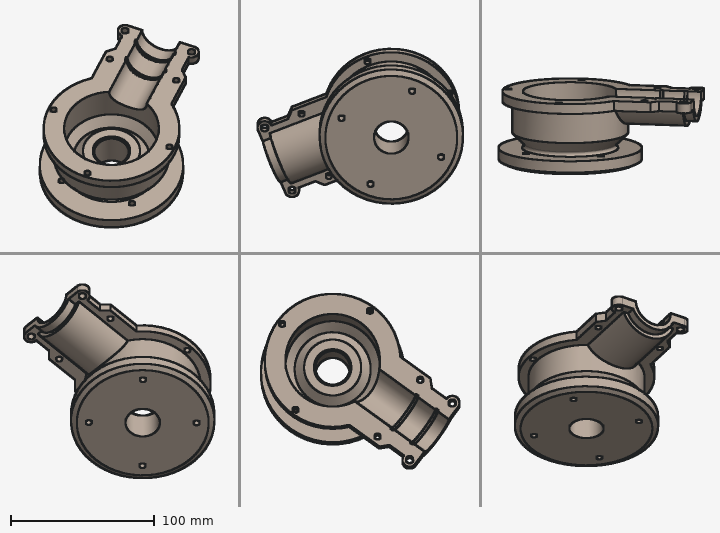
import cadquery as cq
import math

height = 50.0
upper_flange_thickness = 7.0
upper_flange_bottom = height - upper_flange_thickness
lower_flange_top = 10.0
base_chamfer_height = 2.0
base_chamfer_width = 4.0

lower_flange_radius = 50.0
upper_flange_radius = 47.3
body_radius = 40.5
body_bottom = 21.0
neck_radius = 32.5
neck_top = 13.0
neck_foot_radius = 33.5
neck_waist_radius = 32.2

bowl_radius = 66.0 / 2
bowl_bottom = 25.2
valley_radius = 26.5
valley_depth = 6.6
seat_radius = 19.9
shaft_radius = 24.0 / 2
shaft_chamfer = 1.05

inlet_end = 90.0
channel_radius = 14.1
tube_radius = 21.3
spigot_radius = 17.9
spigot_length = 6.7
groove_radius = 15.1
groove_width = 2.1
groove_centers = (79.2, 62.2)

plate_half_width = 30.1
ear_radius = 5.0
waist_half_width = plate_half_width - ear_radius
ear_y = inlet_end - ear_radius
waist_end = 67.5
waist_start = waist_end - ear_radius
ear_hole_diameter = 5.0

screw_diameter = 4.2
plate_screw_y = 57.3
upper_screw_circle = 43.7
lower_screw_circle = 37.5

ear_points = [(side * waist_half_width, ear_y) for side in (-1, 1)]
plate_screw_points = [(side * waist_half_width, plate_screw_y) for side in (-1, 1)]
upper_screw_points = [
    (-upper_screw_circle, 0),
    (upper_screw_circle, 0),
    (0, -upper_screw_circle),
]
lower_screw_offset = lower_screw_circle / math.sqrt(2)
lower_screw_points = [
    (x_side * lower_screw_offset, y_side * lower_screw_offset)
    for x_side in (-1, 1)
    for y_side in (-1, 1)
]


def half_round(radius, start, end):
    """Cylinder along Y whose axis lies in the top face."""
    return (
        cq.Workplane("XZ", origin=(0, start, height))
        .circle(radius)
        .extrude(start - end)
    )


def drill(points, diameter, bottom, top):
    """Vertical cylinders at the given points."""
    return (
        cq.Workplane("XY", origin=(0, 0, bottom))
        .pushPoints(points)
        .circle(diameter / 2)
        .extrude(top - bottom)
    )


def make_housing():
    """Revolved outside of the flanges, body, cone and neck."""
    neck_arc_middle = (neck_waist_radius, (neck_top + lower_flange_top) / 2)
    return (
        cq.Workplane("XZ")
        .lineTo(lower_flange_radius - base_chamfer_width, 0)
        .lineTo(lower_flange_radius, base_chamfer_height)
        .lineTo(lower_flange_radius, lower_flange_top)
        .lineTo(neck_foot_radius, lower_flange_top)
        .threePointArc(neck_arc_middle, (neck_radius, neck_top))
        .lineTo(body_radius, body_bottom)
        .lineTo(body_radius, upper_flange_bottom)
        .lineTo(upper_flange_radius, upper_flange_bottom)
        .lineTo(upper_flange_radius, height)
        .lineTo(0, height)
        .close()
        .revolve(360, (0, 0), (0, 1))
    )


def make_plate():
    """Flat inlet plate with a narrowed waist and two rounded ears."""
    plate = (
        cq.Workplane("XY", origin=(0, 0, upper_flange_bottom))
        .moveTo(-plate_half_width, 0)
        .lineTo(plate_half_width, 0)
        .lineTo(plate_half_width, waist_start)
        .lineTo(waist_half_width, waist_end)
        .lineTo(waist_half_width, inlet_end)
        .lineTo(-waist_half_width, inlet_end)
        .lineTo(-waist_half_width, waist_end)
        .lineTo(-plate_half_width, waist_start)
        .close()
        .extrude(upper_flange_thickness)
    )
    ears = drill(ear_points, 2 * ear_radius, upper_flange_bottom, height)
    return plate.union(ears)


def make_tube():
    """Lower half of the inlet tube with a thinner spigot at its end."""
    tube = half_round(tube_radius, 0, inlet_end - spigot_length)
    spigot = half_round(spigot_radius, 0, inlet_end)
    lower_half = cq.Workplane("XY").box(
        2 * tube_radius, inlet_end, height, centered=(True, False, False)
    )
    return tube.union(spigot).intersect(lower_half)


def make_bowl():
    """Revolved cavity of the bowl, conical seat and shaft hole."""
    valley_bottom = bowl_bottom - valley_depth
    return (
        cq.Workplane("XZ")
        .lineTo(shaft_radius, 0)
        .lineTo(shaft_radius, bowl_bottom - shaft_chamfer)
        .lineTo(shaft_radius + shaft_chamfer, bowl_bottom)
        .lineTo(seat_radius, bowl_bottom)
        .lineTo(valley_radius, valley_bottom)
        .lineTo(bowl_radius, bowl_bottom)
        .lineTo(bowl_radius, height)
        .lineTo(0, height)
        .close()
        .revolve(360, (0, 0), (0, 1))
    )


def make_channel():
    """Inlet bore with its two ring grooves."""
    channel = half_round(channel_radius, 0, inlet_end)
    for center in groove_centers:
        groove = half_round(groove_radius, center - groove_width / 2, center + groove_width / 2)
        channel = channel.union(groove)
    return channel


result = make_housing().union(make_plate()).union(make_tube())
result = result.cut(make_bowl()).cut(make_channel())
result = result.cut(drill(ear_points, ear_hole_diameter, upper_flange_bottom, height))
result = result.cut(drill(plate_screw_points, screw_diameter, upper_flange_bottom, height))
result = result.cut(drill(upper_screw_points, screw_diameter, upper_flange_bottom, height))
result = result.cut(drill(lower_screw_points, screw_diameter, 0, lower_flange_top))